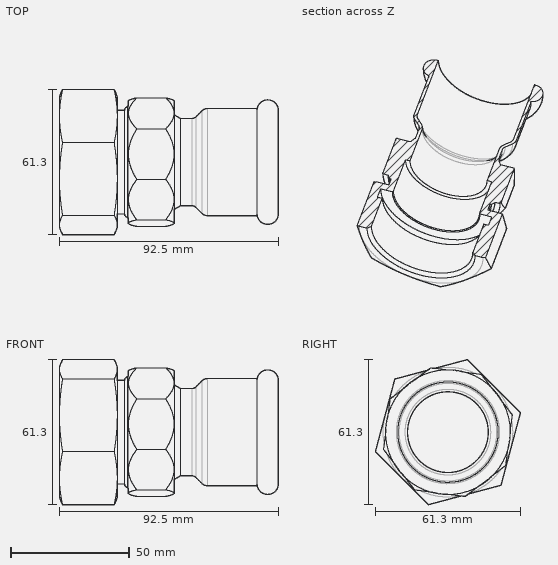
import cadquery as cq
import math

total_length = 92.5
hex_length = 24.5
collar_start = 27.5
octagon_start = 29.0
octagon_end = 48.6

hex_sides = 6
hex_flats = 55.0
hex_face_diameter = 54.8
hex_chamfer_length = 1.35

first_corner_angle = 15.0

thread_minor_diameter = 44.84
thread_mouth_diameter = 47.8
thread_end = 17.0
relief_diameter = 49.0
relief_end = 21.3

seat_diameter = 38.0
seat_mouth_diameter = 38.8
seat_end = (octagon_start + octagon_end) / 2

neck_diameter = 44.0
collar_front_diameter = 45.0
collar_diameter = 47.2
collar_chamfer_length = 1.2

octagon_sides = 8
octagon_flats = 52.0
octagon_face_diameter = 51.8
octagon_chamfer_length = 3.7

wall = 1.5
tube_diameter = 37.0
socket_diameter = 45.4
tube_radius = tube_diameter / 2
socket_radius = socket_diameter / 2
tube_end = 56.05
shoulder_angle = math.radians(45)
neck_blend = 2.25
socket_blend = 3.5
blend_sum = neck_blend + socket_blend
flank_rise = socket_radius - tube_radius - blend_sum * (1 - math.cos(shoulder_angle))
flank_length = flank_rise / math.tan(shoulder_angle)
socket_start = tube_end + blend_sum * math.sin(shoulder_angle) + flank_length

root_length = 2.5
root_angle = math.radians(30)
root_rise = root_length * math.tan(root_angle)

bead_width = 9.1
bead_diameter = 52.7
bead_radius = bead_width / 2
bead_center_radius = bead_diameter / 2 - bead_radius
bead_start = total_length - bead_width


def cylinder(diameter, start, end):
    """Round bar along X between two stations."""
    return cq.Workplane("YZ", origin=(start, 0, 0)).circle(diameter / 2).extrude(end - start)


def cone(start_diameter, end_diameter, start, end):
    """Truncated cone along X between two stations."""
    profile = [(start, 0), (start, start_diameter / 2), (end, end_diameter / 2), (end, 0)]
    return revolve(cq.Workplane("XY").polyline(profile).close())


def revolve(profile):
    """Turn a closed XY profile about the X axis."""
    return profile.revolve(360, (0, 0, 0), (1, 0, 0))


def chamfered_prism(sides, flats, start, end, face_diameter, chamfer_length):
    """Regular prism along X with its corners turned down by a cone at both ends."""
    corner_diameter = flats / math.cos(math.pi / sides)
    prism = (
        cq.Workplane("YZ", origin=(start, 0, 0))
        .polygon(sides, corner_diameter)
        .extrude(end - start)
        .rotate((0, 0, 0), (1, 0, 0), first_corner_angle)
    )
    face_radius = face_diameter / 2
    corner_radius = corner_diameter / 2
    envelope = (
        cq.Workplane("XY")
        .moveTo(start, 0)
        .lineTo(start, face_radius)
        .lineTo(start + chamfer_length, corner_radius)
        .lineTo(end - chamfer_length, corner_radius)
        .lineTo(end, face_radius)
        .lineTo(end, 0)
        .close()
    )
    return prism.intersect(revolve(envelope))


def hex_end():
    return chamfered_prism(hex_sides, hex_flats, 0, hex_length, hex_face_diameter, hex_chamfer_length)


def octagon_nut():
    return chamfered_prism(
        octagon_sides,
        octagon_flats,
        octagon_start,
        octagon_end,
        octagon_face_diameter,
        octagon_chamfer_length,
    )


def neck_and_collar():
    chamfer_end = collar_start + collar_chamfer_length
    neck = cylinder(neck_diameter, hex_length, collar_start)
    front = cone(collar_front_diameter, collar_diameter, collar_start, chamfer_end)
    rim = cylinder(collar_diameter, chamfer_end, octagon_start)
    return neck.union(front).union(rim)


def add_shoulder(profile, small_radius, large_radius, inner_blend, outer_blend):
    """Draw the sloping step from tube to socket, with a tangent arc at each end of its flank."""
    half_angle = shoulder_angle / 2

    def lower(angle):
        rise = inner_blend * (1 - math.cos(angle))
        return (tube_end + inner_blend * math.sin(angle), small_radius + rise)

    def upper(angle):
        drop = outer_blend * (1 - math.cos(angle))
        return (socket_start - outer_blend * math.sin(angle), large_radius - drop)

    return (
        profile.threePointArc(lower(half_angle), lower(shoulder_angle))
        .lineTo(*upper(shoulder_angle))
        .threePointArc(upper(half_angle), upper(0))
    )


def press_tube():
    """Outer body of the tube: conical root, neck, shoulder, socket and bead."""
    profile = (
        cq.Workplane("XY")
        .moveTo(octagon_end, 0)
        .lineTo(octagon_end, tube_radius + root_rise)
        .lineTo(octagon_end + root_length, tube_radius)
        .lineTo(tube_end, tube_radius)
    )
    profile = add_shoulder(profile, tube_radius, socket_radius, neck_blend, socket_blend)
    profile = (
        profile.lineTo(bead_start, socket_radius)
        .lineTo(bead_start, bead_center_radius)
        .threePointArc((bead_start + bead_radius, bead_diameter / 2), (total_length, bead_center_radius))
        .lineTo(total_length, 0)
        .close()
    )
    return revolve(profile)


def tube_bore():
    """Bore that follows the tube at a constant wall thickness."""
    bore_radius = tube_radius - wall
    socket_bore_radius = socket_radius - wall
    profile = (
        cq.Workplane("XY")
        .moveTo(seat_end, 0)
        .lineTo(seat_end, bore_radius)
        .lineTo(tube_end, bore_radius)
    )
    profile = add_shoulder(profile, bore_radius, socket_bore_radius, neck_blend + wall, socket_blend - wall)
    profile = profile.lineTo(total_length, socket_bore_radius).lineTo(total_length, 0).close()
    return revolve(profile)


def thread_bore():
    """Chamfered thread bore with a relief groove at its inner end."""
    mouth_depth = (thread_mouth_diameter - thread_minor_diameter) / 2
    mouth = cone(thread_mouth_diameter, thread_minor_diameter, 0, mouth_depth)
    bore = cylinder(thread_minor_diameter, 0, thread_end)
    relief = cylinder(relief_diameter, thread_end, relief_end)
    return mouth.union(bore).union(relief)


def tube_seat():
    """Seat with a 45 degree lead-in."""
    lead_in = (seat_mouth_diameter - seat_diameter) / 2
    mouth = cone(seat_mouth_diameter, seat_diameter, relief_end, relief_end + lead_in)
    return mouth.union(cylinder(seat_diameter, relief_end, seat_end))


body = hex_end().union(neck_and_collar()).union(octagon_nut()).union(press_tube())
result = body.cut(thread_bore()).cut(tube_seat()).cut(tube_bore())